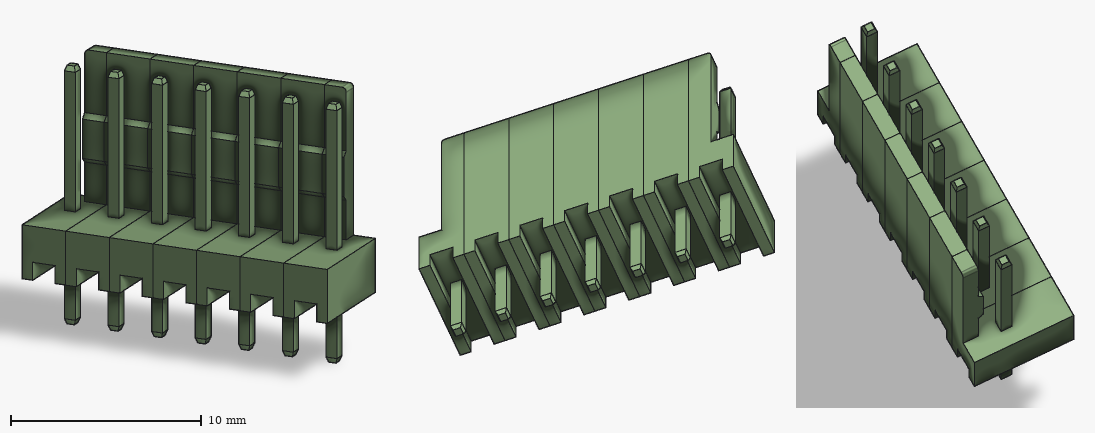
import cadquery as cq


segment_count = 7
strip_length = 17.78
pitch = strip_length / segment_count

base_depth = 5.9
base_height = 2.99
slot_width = 1.3
slot_height = 1.0

pin_width = 0.64
pin_to_back = 2.4
pin_above_base = 8.02
pin_below_base = 3.3
tip_length = 0.3
tip_inset = 0.1

wall_height = 8.41
wall_thickness = 0.9
wall_corner_radius = 0.25
rib_bottom = 2.19
rib_height = 2.74
rib_projection = 0.28

back_y = pin_to_back
front_y = back_y - base_depth
wall_front_y = back_y - wall_thickness
rib_front_y = wall_front_y - rib_projection
wall_top_z = base_height + wall_height
rib_bottom_z = base_height + rib_bottom
rib_top_z = rib_bottom_z + rib_height


def make_base(center_x):
    """Base block, with the slot that passes under the pin cut through it."""
    block = cq.Workplane("XY").box(pitch, base_depth, base_height, centered=(True, False, False))
    slot = cq.Workplane("XY").box(slot_width, base_depth, slot_height, centered=(True, False, False))
    return block.cut(slot).translate((center_x, front_y, 0))


def make_tip(base_z, direction):
    """Tapered pin end that starts at base_z and points up (+1) or down (-1)."""
    end_width = pin_width - 2 * tip_inset
    return (
        cq.Workplane("XY", origin=(0, 0, base_z))
        .rect(pin_width, pin_width)
        .workplane(offset=direction * tip_length)
        .rect(end_width, end_width)
        .loft(ruled=True)
    )


def make_pin(center_x):
    """Square pin through the base, tapered at both ends."""
    shank_bottom_z = tip_length - pin_below_base
    shank_top_z = base_height + pin_above_base - tip_length
    shank = (
        cq.Workplane("XY", origin=(0, 0, shank_bottom_z))
        .rect(pin_width, pin_width)
        .extrude(shank_top_z - shank_bottom_z)
    )
    pin = shank.union(make_tip(shank_top_z, 1)).union(make_tip(shank_bottom_z, -1))
    return pin.translate((center_x, 0, 0))


def make_wall(index, center_x):
    """Piece of latch wall; the end pieces stop at the pin axis with a rounded top corner."""
    is_first = index == 0
    is_last = index == segment_count - 1
    left_x = center_x if is_first else center_x - pitch / 2
    right_x = center_x if is_last else center_x + pitch / 2

    wall = (
        cq.Workplane("YZ", origin=(left_x, 0, 0))
        .moveTo(back_y, base_height)
        .lineTo(back_y, wall_top_z)
        .lineTo(wall_front_y, wall_top_z)
        .lineTo(wall_front_y, rib_top_z)
        .lineTo(rib_front_y, rib_top_z - rib_projection)
        .lineTo(rib_front_y, rib_bottom_z + rib_projection)
        .lineTo(wall_front_y, rib_bottom_z)
        .lineTo(wall_front_y, base_height)
        .close()
        .extrude(right_x - left_x)
    )
    if is_first:
        wall = wall.faces(">Z").edges("<X").fillet(wall_corner_radius)
    if is_last:
        wall = wall.faces(">Z").edges(">X").fillet(wall_corner_radius)
    return wall


def make_segment(index):
    """One complete strip segment as a single solid."""
    center_x = (index - (segment_count - 1) / 2) * pitch
    return make_base(center_x).union(make_pin(center_x)).union(make_wall(index, center_x))


segments = [make_segment(index) for index in range(segment_count)]

result = cq.Compound.makeCompound([segment.solids().val() for segment in segments])